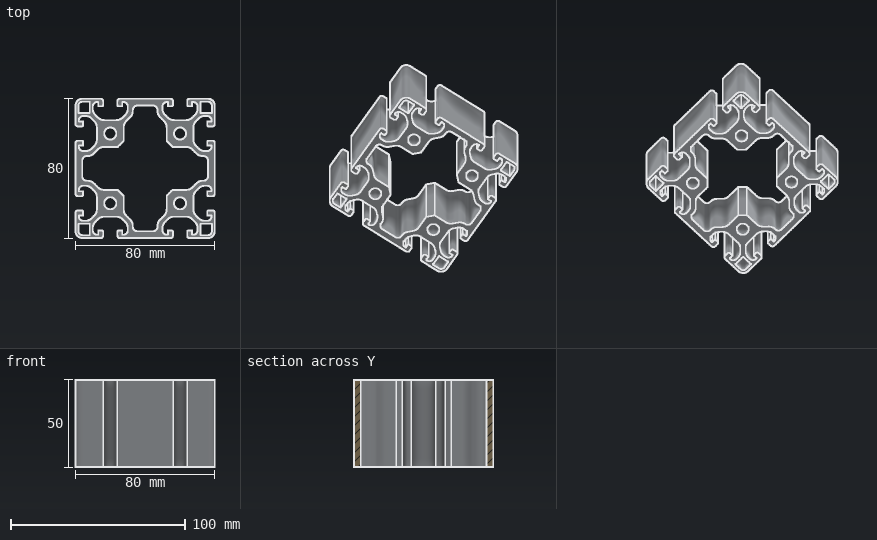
import cadquery as cq
import math

width = 80.0
length = 50.0
corner_radius = 4.0
half_width = width / 2

node_offset = width / 4
bore_diameter = 6.8
node_half_width = 7.75

mouth_half_width = 4.0
lip_thickness = 3.0
lip_depth = 4.5
lip_outer_radius = 1.5
lip_inner_radius = 1.0
ceiling_depth = 2.0
ceiling_radius = 2.5
slot_half_width = 10.0
slot_depth = node_offset - node_half_width
slot_chamfer = 4.4
slot_chamfer_radius = 5.0
cutter_overhang = 1.0

side_wall = 4.0
arm_half_width = 7.0
arm_corner_radius = 2.5
web_thickness = 3.0
web_radius = 5.0
node_chamfer = 3.5

cell_near = 1.8
cell_far = 8.2
cell_radius = corner_radius - cell_near


def rounded_prism(corners):
    """Extrude a closed outline of (x, y, radius) corners over the whole length."""
    outline = None
    count = len(corners)
    for i, (x, y, radius) in enumerate(corners):
        corner = cq.Vector(x, y)
        to_previous = (cq.Vector(*corners[i - 1][:2]) - corner).normalized()
        to_next = (cq.Vector(*corners[(i + 1) % count][:2]) - corner).normalized()
        half_angle = to_previous.getAngle(to_next) / 2
        setback = radius / math.tan(half_angle)
        start = corner + to_previous * setback
        outline = outline.lineTo(start.x, start.y) if outline else cq.Workplane().moveTo(start.x, start.y)
        if radius > 0:
            bisector = (to_previous + to_next).normalized()
            middle = corner + bisector * (radius / math.sin(half_angle) - radius)
            end = corner + to_next * setback
            outline = outline.threePointArc((middle.x, middle.y), (end.x, end.y))
    return outline.close().extrude(length)


def four_sides(body):
    """Copies of a body at every quarter turn about the bar axis."""
    return [body.rotate((0, 0, 0), (0, 0, 1), 90 * turn) for turn in range(4)]


def slot_cutter(centre_x):
    """T-slot opening through the +Y face, with rounded lips."""
    half_profile = [
        (slot_half_width, -cutter_overhang, 0),
        (slot_half_width, 0, 0),
        (mouth_half_width, 0, lip_outer_radius),
        (mouth_half_width, lip_depth, lip_inner_radius),
        (mouth_half_width + lip_thickness, lip_depth, 0),
        (mouth_half_width + lip_thickness, ceiling_depth, 0),
        (slot_half_width, ceiling_depth, ceiling_radius),
        (slot_half_width, slot_depth - slot_chamfer, slot_chamfer_radius),
        (slot_half_width - slot_chamfer, slot_depth, slot_chamfer_radius),
    ]
    right = [(centre_x + u, half_width - depth, r) for u, depth, r in half_profile]
    left = [(centre_x - u, half_width - depth, r) for u, depth, r in reversed(half_profile)]
    return rounded_prism(right + left)


def cavity_cutter():
    """Central cavity running between the four nodes and out to the side walls."""
    arm_end = half_width - side_wall
    node_face = node_offset - node_half_width
    slot_diagonal = node_offset - slot_half_width + half_width - slot_depth + slot_chamfer
    web_diagonal = slot_diagonal - web_thickness * math.sqrt(2)
    half_quadrant = [
        (arm_half_width, arm_end, arm_corner_radius),
        (arm_half_width, web_diagonal - arm_half_width, web_radius),
        (node_face, web_diagonal - node_face, web_radius),
        (node_face, node_face + node_chamfer, 0),
    ]
    quadrant = half_quadrant + [(y, x, r) for x, y, r in reversed(half_quadrant)]
    corners = []
    for _ in range(4):
        corners += quadrant
        quadrant = [(y, -x, r) for x, y, r in quadrant]
    return rounded_prism(corners)


def cell_cutter():
    """Square cell in the +X +Y corner, rounded towards the outer corner."""
    inner = half_width - cell_far
    outer = half_width - cell_near
    return rounded_prism([(inner, inner, 0), (outer, inner, 0), (outer, outer, cell_radius), (inner, outer, 0)])


def bore_cutter():
    """Round bore through the node in the +X +Y quadrant."""
    return cq.Workplane().center(node_offset, node_offset).circle(bore_diameter / 2).extrude(length)


result = cq.Workplane().rect(width, width).extrude(length).edges("|Z").fillet(corner_radius)
result = result.cut(cavity_cutter())
for cutter in (slot_cutter(-node_offset), slot_cutter(node_offset), cell_cutter(), bore_cutter()):
    for copy in four_sides(cutter):
        result = result.cut(copy)